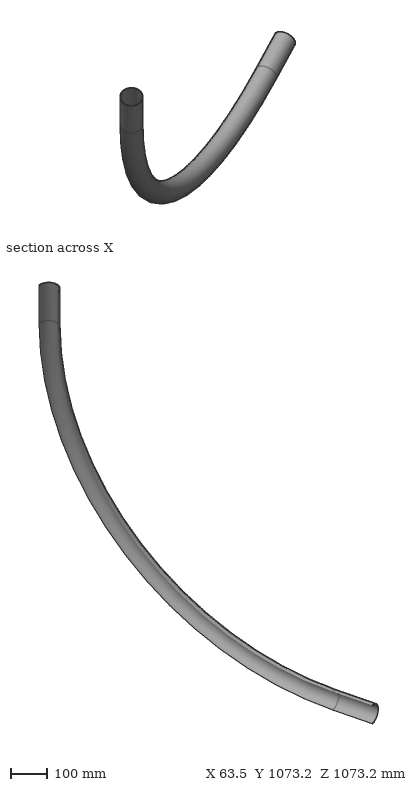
import cadquery as cq

outer_diameter = 63.5
inner_diameter = 59.28

bend_radius = 914.4
leg_length = 127.0
bend_angle = 90.0


def tube_section(workplane):
    """Draw the ring-shaped tube section on a workplane."""
    return workplane.circle(outer_diameter / 2).circle(inner_diameter / 2)


def vertical_leg():
    """Straight leg rising along +Z from the upper end of the bend."""
    return tube_section(cq.Workplane("XY")).extrude(leg_length)


def quarter_bend():
    """Bend from the vertical leg down and round towards +Y, about an axis parallel to X."""
    axis_start = (0, bend_radius)
    axis_end = (1, bend_radius)
    return tube_section(cq.Workplane("XY")).revolve(bend_angle, axis_start, axis_end)


def horizontal_leg():
    """Straight leg running along +Y from the lower end of the bend."""
    bend_end = cq.Workplane("XZ", origin=(0, bend_radius, -bend_radius))
    return tube_section(bend_end).extrude(-leg_length)


result = quarter_bend().union(vertical_leg()).union(horizontal_leg())